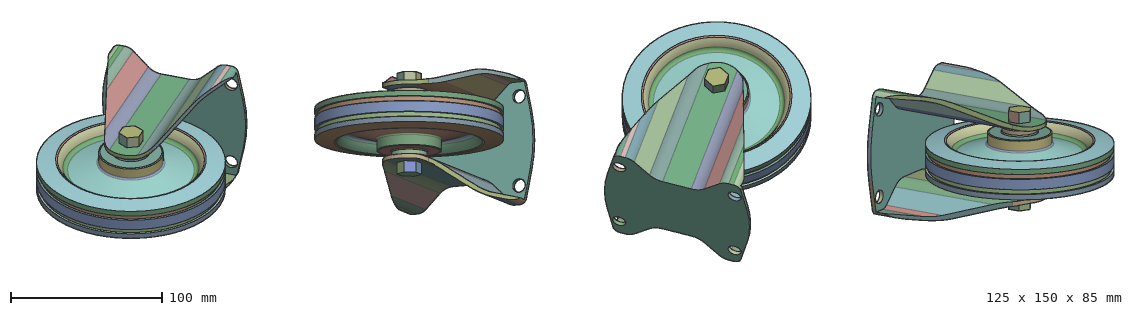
import cadquery as cq
import math


overall_length = 150

wheel_radius = 125.0 / 2
groove_radius = 121.5 / 2
groove_inner_z = 3.6
groove_outer_z = 6.9
tread_edge_z = 10.5
rim_edge_radius = 49.8
rim_width = 25.0
lip_radius = 48.6
lip_drop = 0.5
recess_wall_radius = 45.0
recess_wall_z = 6.2
recess_wall_bulge = 0.5
web_outer_radius = 41.8
web_outer_z = 4.2
hub_radius = 42.8 / 2
hub_half_length = 18.5
hub_chamfer_width = 0.9
hub_chamfer_height = 0.5
hub_base_fillet = 1.12
web_inner_z = 10.2

collar_radius = 23.7 / 2
collar_end_z = 22.2
collar_flare = 0.6
collar_flare_end_z = 19.4
spacer_radius = 7.5
hex_sides = 6
hex_across_flats = 14.1
hex_end_z = 33.9

sheet = 2.8
plate_face_y = overall_length - wheel_radius
bracket_half_height = 85.0 / 2
plate_half_width = 50.2
side_lean = math.radians(11.8)
leg_outer_z = 26.2
leg_flat_half_width = 9.9
ridge_flat_start_x = 35.8
ridge_flat_end_x = 39.2
corner_radius = 5.2
bend_angle = math.radians(43.7)
valley_radius = 13.2
ridge_radius = 9.2
leg_end_radius = 17.5
leg_root_half_width = 44.4
leg_root_y = 80.4
hole_diameter = 9.0
hole_spacing_x = 80.0
hole_spacing_z = 60.0


def z_cylinder(radius, end_z):
    """Cylinder about the axle, centred on the wheel's mid plane."""
    return cq.Workplane("XY").workplane(offset=-end_z).circle(radius).extrude(2 * end_z)


def both_ends(half):
    """Join a shape with its mirror image below the wheel's mid plane."""
    return half.union(half.mirror("XY"))


def wheel():
    """Wheel turned about Z: a middle tread band with the same stepped side above and below."""
    lip_z = rim_width / 2 - lip_drop
    wall_run = lip_radius - recess_wall_radius
    wall_rise = lip_z - recess_wall_z
    wall_length = math.hypot(wall_run, wall_rise)
    wall_mid = (
        recess_wall_radius + wall_run / 2 - recess_wall_bulge * wall_rise / wall_length,
        recess_wall_z + wall_rise / 2 + recess_wall_bulge * wall_run / wall_length,
    )
    side = (
        cq.Workplane("XZ")
        .lineTo(groove_radius, 0)
        .lineTo(groove_radius, groove_outer_z)
        .lineTo(wheel_radius, groove_outer_z)
        .lineTo(wheel_radius, tread_edge_z)
        .lineTo(rim_edge_radius, rim_width / 2)
        .lineTo(lip_radius, lip_z)
        .threePointArc(wall_mid, (recess_wall_radius, recess_wall_z))
        .tangentArcPoint((web_outer_radius, web_outer_z), relative=False)
        .lineTo(hub_radius + hub_base_fillet, web_inner_z)
        .radiusArc((hub_radius, web_inner_z + hub_base_fillet), hub_base_fillet)
        .lineTo(hub_radius, hub_half_length - hub_chamfer_height)
        .lineTo(hub_radius - hub_chamfer_width, hub_half_length)
        .lineTo(0, hub_half_length)
        .close()
        .revolve(360, (0, 0, 0), (0, 1, 0))
    )
    return both_ends(side).union(z_cylinder(wheel_radius, groove_inner_z))


def axle():
    """Flared collars, narrow spacers and hexagonal bolt ends, alike at both ends."""
    collar_and_spacer = (
        cq.Workplane("XZ")
        .lineTo(collar_radius + collar_flare, 0)
        .lineTo(collar_radius + collar_flare, hub_half_length)
        .lineTo(collar_radius, collar_flare_end_z)
        .lineTo(collar_radius, collar_end_z)
        .lineTo(spacer_radius, collar_end_z)
        .lineTo(spacer_radius, leg_outer_z)
        .lineTo(0, leg_outer_z)
        .close()
        .revolve(360, (0, 0, 0), (0, 1, 0))
    )
    corner_diameter = hex_across_flats / math.cos(math.pi / hex_sides)
    bolt_head = (
        cq.Workplane("XY")
        .workplane(offset=leg_outer_z)
        .polygon(hex_sides, corner_diameter)
        .extrude(hex_end_z - leg_outer_z)
        .rotate((0, 0, 0), (0, 0, 1), 180 / hex_sides)
    )
    return both_ends(collar_and_spacer.union(bolt_head))


def plate_face():
    """Sketch plane on the outer face of the mounting plate; extrusions run towards -Y."""
    return cq.Workplane("XZ", origin=(0, plate_face_y, 0))


def blank(depth):
    """Plate outline without the valleys: bulged sides run tangent into leaning straight
    stretches and rounded ridge corners."""
    corner_z = bracket_half_height - corner_radius

    def corner_point(angle):
        return (
            ridge_flat_end_x + corner_radius * math.cos(angle),
            corner_z + corner_radius * math.sin(angle),
        )

    touch_x, touch_z = corner_point(side_lean)
    mid_x, mid_z = corner_point((math.pi / 2 + side_lean) / 2)
    straight_slope = math.tan(side_lean)
    arc_slope = math.tan(side_lean / 2)
    narrowing = plate_half_width - touch_x
    arc_end_z = (touch_z * straight_slope - narrowing) / (straight_slope - arc_slope)
    arc_end_x = plate_half_width - arc_end_z * arc_slope
    half = (
        plate_face()
        .moveTo(0, bracket_half_height)
        .lineTo(ridge_flat_end_x, bracket_half_height)
        .threePointArc((mid_x, mid_z), (touch_x, touch_z))
        .lineTo(arc_end_x, arc_end_z)
        .threePointArc((plate_half_width, 0), (arc_end_x, -arc_end_z))
        .lineTo(touch_x, -touch_z)
        .threePointArc((mid_x, -mid_z), (ridge_flat_end_x, -bracket_half_height))
        .lineTo(0, -bracket_half_height)
        .close()
        .extrude(depth)
    )
    return half.union(half.mirror("YZ"))


def below_sheet(offset, depth):
    """Everything between two bent faces lying `offset` inside the sheets' outer faces."""
    z_flat = leg_outer_z - offset
    z_ridge = bracket_half_height - offset
    valley = valley_radius + offset
    ridge = ridge_radius - offset
    sin_half = math.sin(bend_angle / 2)
    cos_half = math.cos(bend_angle / 2)
    valley_mid = (leg_flat_half_width + valley * sin_half, z_flat + valley * (1 - cos_half))
    valley_end = (
        leg_flat_half_width + valley * math.sin(bend_angle),
        z_flat + valley * (1 - math.cos(bend_angle)),
    )
    ridge_start = (
        ridge_flat_start_x - ridge * math.sin(bend_angle),
        z_ridge - ridge * (1 - math.cos(bend_angle)),
    )
    ridge_mid = (ridge_flat_start_x - ridge * sin_half, z_ridge - ridge * (1 - cos_half))
    quarter = (
        plate_face()
        .lineTo(0, z_flat)
        .lineTo(leg_flat_half_width, z_flat)
        .threePointArc(valley_mid, valley_end)
        .lineTo(*ridge_start)
        .threePointArc(ridge_mid, (ridge_flat_start_x, z_ridge))
        .lineTo(plate_half_width, z_ridge)
        .lineTo(plate_half_width, 0)
        .close()
        .extrude(depth)
    )
    half = quarter.union(quarter.mirror("YZ"))
    return both_ends(half)


def leg_outline():
    """Tapered leg seen along Z: straight sides tangent to a round end about the axle."""
    root_distance = math.hypot(leg_root_half_width, leg_root_y)
    root_angle = math.atan2(leg_root_y, leg_root_half_width)
    touch_angle = root_angle - math.acos(leg_end_radius / root_distance)
    touch_x = leg_end_radius * math.cos(touch_angle)
    touch_y = leg_end_radius * math.sin(touch_angle)
    return (
        cq.Workplane("XY")
        .moveTo(-leg_root_half_width, plate_face_y)
        .lineTo(-leg_root_half_width, leg_root_y)
        .lineTo(-touch_x, touch_y)
        .threePointArc((0, -leg_end_radius), (touch_x, touch_y))
        .lineTo(leg_root_half_width, leg_root_y)
        .lineTo(leg_root_half_width, plate_face_y)
        .close()
        .extrude(bracket_half_height, both=True)
    )


def bracket():
    """Mounting plate with four holes and two bent legs, one on each side of the wheel."""
    leg_length = plate_face_y + leg_end_radius
    plate = blank(sheet).intersect(below_sheet(0, sheet))
    holes = (
        plate_face()
        .rarray(hole_spacing_x, hole_spacing_z, 2, 2)
        .circle(hole_diameter / 2)
        .extrude(sheet)
    )
    legs = (
        blank(leg_length)
        .intersect(below_sheet(0, leg_length))
        .cut(below_sheet(sheet, leg_length))
        .intersect(leg_outline())
    )
    return plate.union(legs).cut(holes)


result = wheel().union(axle()).union(bracket())